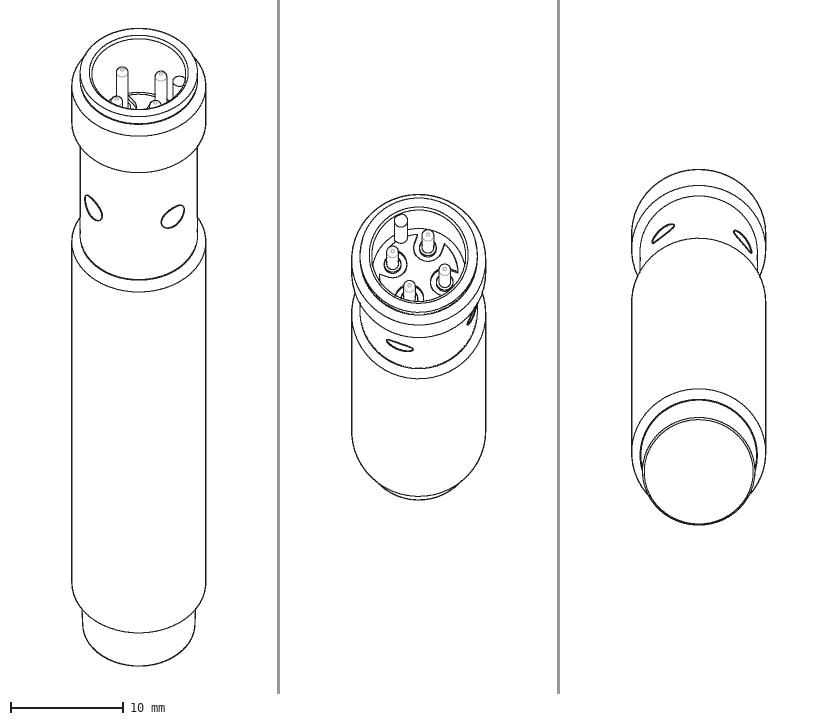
import cadquery as cq
import math

LENGTH = 74.8
BODY_RADIUS = 6.0

CAP_HEIGHT = 5.0
SHOULDER_TOP = 52.65
COLLAR_TOP = 73.75
COLLAR_LENGTH = 6.4

NECK_RADIUS = 5.2
CHAMFER = BODY_RADIUS - NECK_RADIUS

WINDOW_RADIUS = 1.3
WINDOW_HEIGHT = 60.0
WINDOW_COUNT = 4

RIM_RADIUS = NECK_RADIUS
INSERT_RADIUS = 5.15
SOCKET_RADIUS = 4.2
SOCKET_DEPTH = 7.5
SOCKET_CHAMFER = 0.2
SOCKET_FLOOR = LENGTH - SOCKET_DEPTH

PAD_RADIUS = 3.5
PAD_HEIGHT = 0.5
NOTCH_RADIUS = 1.3

PIN_COUNT = 4
PIN_CIRCLE_RADIUS = 2.5
PIN_RADIUS = 0.5
PIN_TIP_FILLET = 0.4
PIN_TIP_DEPTH = 1.9
PIN_FOOT_RADIUS = 0.75
PIN_FOOT_TOP = SOCKET_FLOOR + PAD_HEIGHT

KEY_ANGLE = 45.0
KEY_RADIUS = 0.6
KEY_CENTRE_RADIUS = 3.7
KEY_TOP_DEPTH = 0.6

CAP_TOP_RADIUS = 5.15
CAP_BOTTOM_RADIUS = 5.0
CAP_EDGE_CHAMFER = 0.15


def cylinder(radius, bottom, top, x=0.0, y=0.0):
    """Upright cylinder between two heights."""
    return cq.Workplane("XY", origin=(x, y, bottom)).circle(radius).extrude(top - bottom)


def spread_angles(count):
    """Angles in degrees spread evenly around the axis, starting at +X."""
    return [360.0 / count * i for i in range(count)]


def make_housing():
    """Round bar with a waisted neck, chamfered shoulders, insert bore and indicator windows."""
    collar_bottom = COLLAR_TOP - COLLAR_LENGTH
    profile = [
        (0, CAP_HEIGHT),
        (NECK_RADIUS, CAP_HEIGHT),
        (BODY_RADIUS, CAP_HEIGHT + CHAMFER),
        (BODY_RADIUS, SHOULDER_TOP - CHAMFER),
        (NECK_RADIUS, SHOULDER_TOP),
        (NECK_RADIUS, collar_bottom),
        (BODY_RADIUS, collar_bottom + CHAMFER),
        (BODY_RADIUS, COLLAR_TOP - CHAMFER),
        (NECK_RADIUS, COLLAR_TOP),
        (0, COLLAR_TOP),
    ]
    housing = cq.Workplane("XZ").polyline(profile).close().revolve(360, (0, 0, 0), (0, 1, 0))
    housing = housing.cut(cylinder(INSERT_RADIUS, SHOULDER_TOP, COLLAR_TOP))
    for angle in spread_angles(WINDOW_COUNT):
        window = cq.Workplane("YZ").center(0, WINDOW_HEIGHT).circle(WINDOW_RADIUS).extrude(BODY_RADIUS)
        housing = housing.cut(window.rotate((0, 0, 0), (0, 0, 1), angle))
    return housing


def make_pad():
    """Disc on the socket floor with a notch, open outwards, around each pin."""
    pad_top = SOCKET_FLOOR + PAD_HEIGHT
    pad = cylinder(PAD_RADIUS, SOCKET_FLOOR, pad_top)
    for angle in spread_angles(PIN_COUNT):
        round_end = cylinder(NOTCH_RADIUS, SOCKET_FLOOR, pad_top, PIN_CIRCLE_RADIUS)
        opening = (
            cq.Workplane("XY", origin=(PIN_CIRCLE_RADIUS, 0, SOCKET_FLOOR))
            .rect(2 * NOTCH_RADIUS, 2 * NOTCH_RADIUS)
            .extrude(PAD_HEIGHT)
            .translate((NOTCH_RADIUS, 0, 0))
        )
        pad = pad.cut(round_end.union(opening).rotate((0, 0, 0), (0, 0, 1), angle))
    return pad


def make_pin(angle):
    """Contact pin with a rounded tip and a wider foot."""
    x = PIN_CIRCLE_RADIUS * math.cos(math.radians(angle))
    y = PIN_CIRCLE_RADIUS * math.sin(math.radians(angle))
    pin = cylinder(PIN_RADIUS, SOCKET_FLOOR, LENGTH - PIN_TIP_DEPTH, x, y)
    pin = pin.faces(">Z").fillet(PIN_TIP_FILLET)
    return pin.union(cylinder(PIN_FOOT_RADIUS, SOCKET_FLOOR, PIN_FOOT_TOP, x, y))


def make_key():
    """Round rib down the socket wall."""
    key = cylinder(KEY_RADIUS, SOCKET_FLOOR, LENGTH - KEY_TOP_DEPTH, KEY_CENTRE_RADIUS)
    return key.rotate((0, 0, 0), (0, 0, 1), KEY_ANGLE)


def make_insert():
    """Connector insert: socket with a notched pad, four pins and a coding key."""
    insert = cylinder(INSERT_RADIUS, SHOULDER_TOP, COLLAR_TOP)
    insert = insert.union(cylinder(RIM_RADIUS, COLLAR_TOP, LENGTH))
    insert = insert.cut(cylinder(SOCKET_RADIUS, SOCKET_FLOOR, LENGTH))
    mouth = insert.faces(">Z").edges(cq.selectors.RadiusNthSelector(0))
    insert = mouth.chamfer(SOCKET_CHAMFER)
    insert = insert.union(make_pad()).union(make_key())
    for angle in spread_angles(PIN_COUNT):
        insert = insert.union(make_pin(angle))
    return insert


def make_cap():
    """Slightly tapered sensing cap with a chamfered lower edge."""
    profile = [(0, 0), (CAP_BOTTOM_RADIUS, 0), (CAP_TOP_RADIUS, CAP_HEIGHT), (0, CAP_HEIGHT)]
    cap = cq.Workplane("XZ").polyline(profile).close().revolve(360, (0, 0, 0), (0, 1, 0))
    return cap.faces("<Z").edges().chamfer(CAP_EDGE_CHAMFER)


housing = make_housing()
insert = make_insert()
cap = make_cap()

result = cq.Compound.makeCompound([housing.val(), insert.val(), cap.val()])